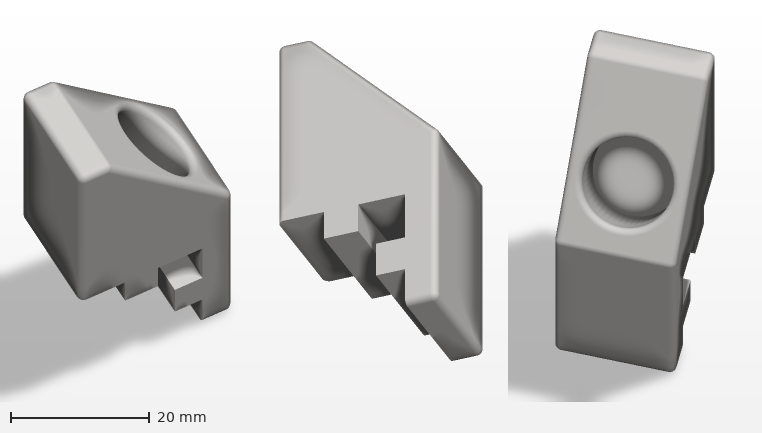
import cadquery as cq
import math

width = 18.0
depth = 25.0
height = 48.5
wall = 5.0
edge_radius = 1.0

notch_run = depth - wall
notch_height = 18.5
tab_thickness = 5.4
tab_length = 4.5
tab_offset = (notch_run - tab_thickness) / 2

slope_run = depth - wall
slope_foot_height = height - slope_run

bore_diameter = 13.4
bore_depth = 10.0
bore_setback = 7.55


def rounded_block():
    """Five-sided block along X with every edge rounded."""
    outline = [
        (0, 0),
        (depth, 0),
        (depth, slope_foot_height),
        (wall, height),
        (0, height),
    ]
    block = cq.Workplane("YZ").polyline(outline).close().extrude(width / 2, both=True)
    return block.edges().fillet(edge_radius)


def box_between(y_start, y_end, z_start, z_end):
    """Full-width box spanning the given ranges in Y and Z."""
    box = cq.Workplane("XY").box(width, y_end - y_start, z_end - z_start, centered=(True, False, False))
    return box.translate((0, y_start, z_start))


def tabs():
    """Tab hanging from the notch roof and tab standing out from the rear wall."""
    roof_tab_rear = notch_run - tab_offset
    wall_tab_top = notch_height - tab_offset
    roof_tab = box_between(
        roof_tab_rear - tab_thickness, roof_tab_rear, notch_height - tab_length, notch_height
    )
    wall_tab = box_between(
        notch_run - tab_length, notch_run, wall_tab_top - tab_thickness, wall_tab_top
    )
    return roof_tab, wall_tab


def bore():
    """Cutter for the blind bore, flared by the rounded mouth, axis square to the slope."""
    radius = bore_diameter / 2
    mouth_radius = radius + edge_radius
    arc_reach = edge_radius * (1 - math.sqrt(0.5))
    half_section = (
        cq.Workplane("XY")
        .moveTo(0, 0)
        .lineTo(mouth_radius, 0)
        .threePointArc((radius + arc_reach, -arc_reach), (radius, -edge_radius))
        .lineTo(radius, -bore_depth)
        .lineTo(0, -bore_depth)
        .close()
    )
    upright = half_section.revolve(360, (0, 0), (0, 1))
    slope_tilt = 45
    tilted = upright.rotate((0, 0, 0), (1, 0, 0), slope_tilt)
    return tilted.translate((0, depth - bore_setback, slope_foot_height + bore_setback))


result = rounded_block().cut(box_between(0, notch_run, 0, notch_height))
for tab in tabs():
    result = result.union(tab)
result = result.cut(bore())